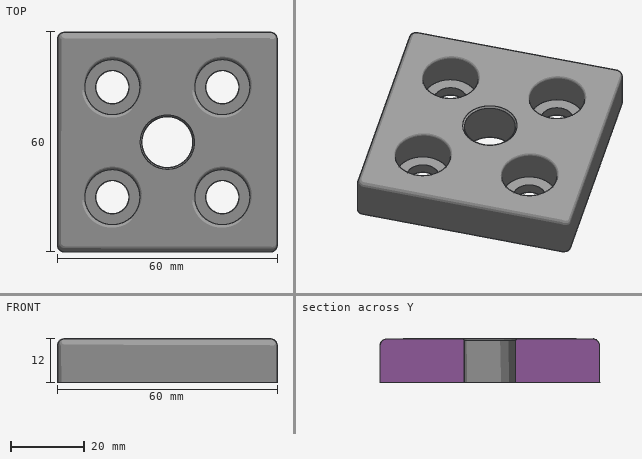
import cadquery as cq

side = 60.0
thickness = 12.0
edge_radius = 2.0

screw_spacing = side / 2
screw_diameter = 9.0
head_diameter = 15.0
head_depth = 9.0
head_rim_radius = 1.0

center_diameter = 13.85
center_chamfer = 0.5
center_rim_diameter = center_diameter + 2 * center_chamfer


def make_plate():
    """Square plate resting on Z = 0, rounded on its corners and top edges."""
    plate = cq.Workplane("XY").box(side, side, thickness, centered=(True, True, False))
    return plate.edges("|Z or >Z").fillet(edge_radius)


def make_screw_cutter():
    """Stepped cutter for one screw hole, flaring out in a rounded rim at the top."""
    head_radius = head_diameter / 2
    screw_radius = screw_diameter / 2
    floor_height = thickness - head_depth
    rim_start = thickness - head_rim_radius
    rim_outer = head_radius + head_rim_radius
    profile = (
        cq.Workplane("XZ")
        .lineTo(screw_radius, 0)
        .lineTo(screw_radius, floor_height)
        .lineTo(head_radius, floor_height)
        .lineTo(head_radius, rim_start)
        .radiusArc((rim_outer, thickness), head_rim_radius)
        .lineTo(0, thickness)
        .close()
    )
    return profile.revolve(360, (0, 0), (0, 1))


def make_center_cutter():
    """Cylinder through the plate, widened by a chamfer at the top."""
    cylinder = cq.Workplane("XY").circle(center_diameter / 2).extrude(thickness)
    countersink = (
        cq.Workplane("XY")
        .workplane(offset=thickness - center_chamfer)
        .circle(center_diameter / 2)
        .workplane(offset=center_chamfer)
        .circle(center_rim_diameter / 2)
        .loft(ruled=True)
    )
    return cylinder.union(countersink)


result = make_plate().cut(make_center_cutter())
screw_cutter = make_screw_cutter()
for x_side in (-1, 1):
    for y_side in (-1, 1):
        position = (x_side * screw_spacing / 2, y_side * screw_spacing / 2, 0)
        result = result.cut(screw_cutter.translate(position))